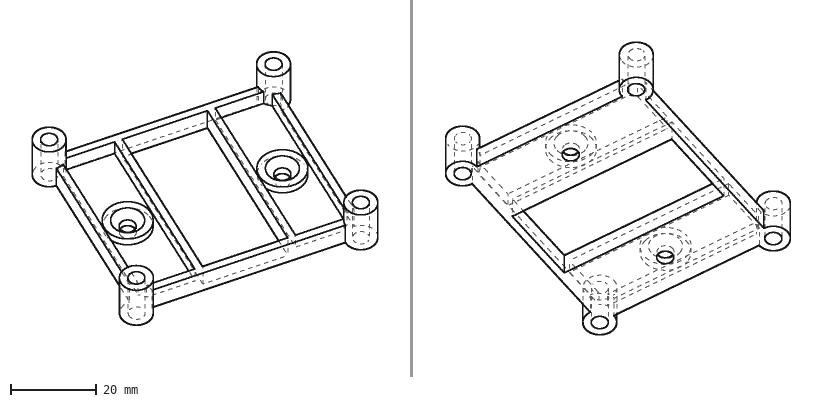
import cadquery as cq

post_spacing_x = 49.0
post_spacing_y = 58.0
post_diameter = 8.0
post_height = 12.0
post_hole_diameter = 4.0

wall = 2.0
frame_height = 6.0
inner_length_x = post_spacing_x - 2 * wall
opening_length_y = 22.0

floor_thickness = 2.0
tray_length_y = (post_spacing_y - opening_length_y) / 2 - 2 * wall
tray_center_y = opening_length_y / 2 + wall + tray_length_y / 2

boss_diameter = 12.0
boss_height = 4.0
screw_hole_diameter = 4.0
countersink_diameter = 8.0
countersink_depth = 2.0

tray_centers = [(0, -tray_center_y), (0, tray_center_y)]


def make_frame():
    """Rectangular frame with a through opening and two floored trays."""
    frame = cq.Workplane("XY").rect(post_spacing_x, post_spacing_y).extrude(frame_height)
    opening = cq.Workplane("XY").rect(inner_length_x, opening_length_y).extrude(frame_height)
    trays = (
        cq.Workplane("XY", origin=(0, 0, floor_thickness))
        .pushPoints(tray_centers)
        .rect(inner_length_x, tray_length_y)
        .extrude(frame_height - floor_thickness)
    )
    return frame.cut(opening).cut(trays)


def add_screw_bosses(body):
    """Raise a boss from each tray floor and countersink a screw hole through it."""
    bosses = cq.Workplane("XY").pushPoints(tray_centers).circle(boss_diameter / 2).extrude(boss_height)
    body = body.union(bosses)
    for x, y in tray_centers:
        hole = cq.Workplane("XY", origin=(x, y, 0)).circle(screw_hole_diameter / 2).extrude(boss_height)
        countersink = cq.Workplane(
            cq.Solid.makeCone(
                screw_hole_diameter / 2,
                countersink_diameter / 2,
                countersink_depth,
                pnt=cq.Vector(x, y, boss_height - countersink_depth),
            )
        )
        body = body.cut(hole).cut(countersink)
    return body


def add_corner_posts(body):
    """Stand a tubular post on each frame corner, drilled through."""
    corners = cq.Workplane("XY").rect(post_spacing_x, post_spacing_y, forConstruction=True).vertices()
    posts = corners.circle(post_diameter / 2).extrude(post_height)
    holes = corners.circle(post_hole_diameter / 2).extrude(post_height)
    return body.union(posts).cut(holes)


result = add_corner_posts(add_screw_bosses(make_frame()))